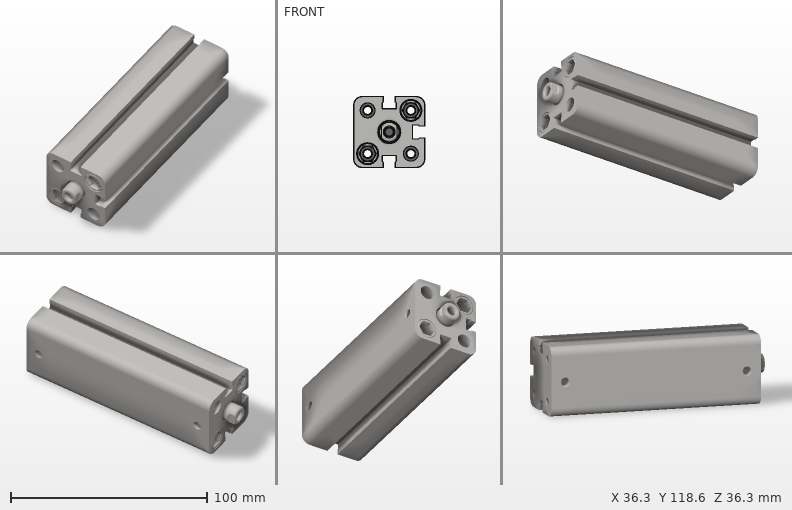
import cadquery as cq

body_size = 36.3
total_length = 118.6
rod_protrusion = 6.5
body_length = total_length - rod_protrusion
corner_radius = 4.5
half_size = body_size / 2

slot_mouth_width = 6.0
slot_inner_width = 7.0
slot_depth = 6.2
slot_lip_depth = 2.7
slot_angles = (0, 90, 180)

hole_offset = 11.0
thread_bore = 4.2
thread_crest = 4.9
clearance_diameter = 7.6
clearance_depth = 11.9

screw_diameter = 10.8
screw_face_diameter = 10.2
screw_recess_diameter = 11.1
screw_gap_depth = 1.8
screw_sink = 0.1
hex_corner_diameter = 9.0
hex_depth = 3.0
socket_bore_diameter = 8.0
socket_bore_depth = 4.4
screw_bore_diameter = 7.5
screw_bore_depth = 8.3

rod_diameter = 10.0
rod_tip_radius = 1.2
rod_flat_width = 8.0
rod_flat_length = 3.4
rod_thread_depth = 7.1
rod_bore_depth = 9.5
rod_countersink_diameter = 6.0
passage_diameter = 11.1
passage_mouth_diameter = 11.7
passage_depth = 3.5

port_inset = 7.5
port_depth = 4.7
port_orifice_diameter = 1.8
port_orifice_depth = 8.3


def along_y(diameter, start, end, x=0.0, z=0.0):
    """Cylinder parallel to Y between two Y positions."""
    plane = cq.Workplane("XZ", origin=(x, start, z))
    return plane.circle(diameter / 2).extrude(start - end)


def cone_along_y(mouth, inner, start, x=0.0, z=0.0):
    """45 degree cone opening at Y = start and narrowing towards +Y."""
    depth = (mouth - inner) / 2
    cone = cq.Solid.makeCone(mouth / 2, inner / 2, depth, cq.Vector(x, start, z), cq.Vector(0, 1, 0))
    return cq.Workplane(obj=cone)


def slot_cutter():
    """Undercut slot open to the top, running the full body length."""
    undercut = (slot_inner_width - slot_mouth_width) / 2
    lip_z = half_size - slot_lip_depth
    floor_z = half_size - slot_depth
    mouth = slot_mouth_width / 2
    inner = slot_inner_width / 2
    right_side = [(mouth, half_size), (mouth, lip_z), (inner, lip_z - undercut), (inner, floor_z)]
    left_side = [(-x, z) for x, z in reversed(right_side)]
    return cq.Workplane("XZ").polyline(right_side + left_side).close().extrude(-body_length)


def make_body():
    """Rounded square body with its three sensor slots."""
    body = cq.Workplane("XZ").rect(body_size, body_size).extrude(-body_length)
    body = body.edges("|Y").fillet(corner_radius)
    for angle in slot_angles:
        body = body.cut(slot_cutter().rotate((0, 0, 0), (0, 1, 0), angle))
    return body


def cut_clearance_hole(body, x, z):
    """Plain corner hole that narrows to a threaded through hole."""
    body = body.cut(along_y(clearance_diameter, 0, clearance_depth, x, z))
    body = body.cut(cone_along_y(thread_crest, thread_bore, clearance_depth, x, z))
    return body.cut(along_y(thread_bore, 0, body_length, x, z))


def cut_screw_hole(body, x, z):
    """Corner with a slightly sunk hexagon socket screw, drilled through."""
    screw_head = along_y(screw_diameter, screw_sink, screw_gap_depth, x, z)
    screw_head = screw_head.faces("<Y").chamfer((screw_diameter - screw_face_diameter) / 2)
    recess = along_y(screw_recess_diameter, 0, screw_gap_depth, x, z).cut(screw_head)
    socket = cq.Workplane("XZ", origin=(x, 0, z)).polygon(6, hex_corner_diameter).extrude(-hex_depth)
    body = body.cut(recess)
    body = body.cut(socket)
    body = body.cut(along_y(socket_bore_diameter, 0, socket_bore_depth, x, z))
    body = body.cut(along_y(screw_bore_diameter, 0, screw_bore_depth, x, z))
    body = body.cut(cone_along_y(thread_crest, thread_bore, screw_bore_depth, x, z))
    return body.cut(along_y(thread_bore, 0, body_length, x, z))


def cut_rod_passage(body):
    """Clearance around the rod with a chamfered mouth in the front face."""
    body = body.cut(along_y(passage_diameter, 0, passage_depth))
    return body.cut(cone_along_y(passage_mouth_diameter, passage_diameter, 0))


def flat_cutter():
    """Wedge that mills the +X rod flat, ending in a 45 degree run-out."""
    flat_x = rod_flat_width / 2
    flat_end = rod_flat_length - rod_protrusion
    reach = rod_diameter
    beyond_tip = -2 * rod_protrusion
    profile = [
        (flat_x, beyond_tip),
        (flat_x, flat_end),
        (flat_x + reach, flat_end + reach),
        (flat_x + reach, beyond_tip),
    ]
    return cq.Workplane("XY").polyline(profile).close().extrude(rod_diameter, both=True)


def make_rod():
    """Piston rod with a rounded tip and two wrench flats."""
    tip = -rod_protrusion
    rod = along_y(rod_diameter, tip, passage_depth)
    rod = rod.faces("<Y").edges().fillet(rod_tip_radius)
    rod = rod.cut(flat_cutter())
    return rod.cut(flat_cutter().mirror("YZ"))


def cut_rod_bore(part):
    """Countersunk blind thread in the rod tip."""
    tip = -rod_protrusion
    part = part.cut(cone_along_y(rod_countersink_diameter, thread_crest, tip))
    part = part.cut(along_y(thread_crest, tip, tip + rod_thread_depth))
    return part.cut(along_y(thread_bore, tip, tip + rod_bore_depth))


def cut_port(body, y):
    """Threaded air port on the -X side with a small orifice in its floor."""
    into_body = cq.Vector(1, 0, 0)
    mouth_depth = (thread_crest - thread_bore) / 2
    mouth_centre = cq.Vector(-half_size, y, 0)
    mouth = cq.Solid.makeCone(thread_crest / 2, thread_bore / 2, mouth_depth, mouth_centre, into_body)
    bore = cq.Solid.makeCylinder(thread_bore / 2, port_depth, mouth_centre, into_body)
    orifice = cq.Solid.makeCylinder(port_orifice_diameter / 2, port_orifice_depth, mouth_centre, into_body)
    for cutter in (mouth, bore, orifice):
        body = body.cut(cq.Workplane(obj=cutter))
    return body


part = make_body()
for side in (-1, 1):
    part = cut_clearance_hole(part, side * hole_offset, -side * hole_offset)
    part = cut_screw_hole(part, side * hole_offset, side * hole_offset)
for port_y in (port_inset, body_length - port_inset):
    part = cut_port(part, port_y)
part = cut_rod_passage(part)
part = part.union(make_rod())
result = cut_rod_bore(part)